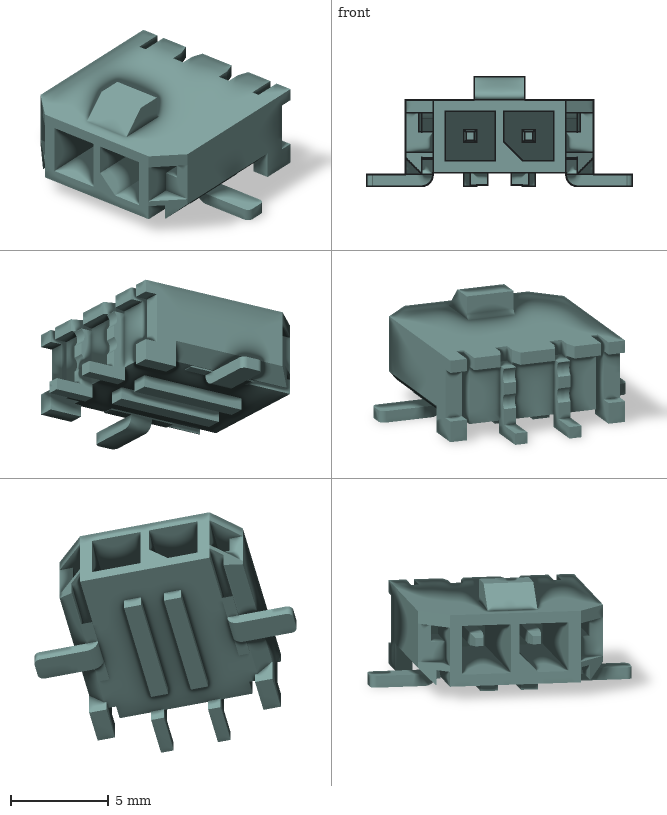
import cadquery as cq


BODY_WIDTH = 9.66
BODY_DEPTH = 9.88
BODY_BOTTOM = 0.7
BODY_TOP = 4.44
HALF_WIDTH = BODY_WIDTH / 2
CAVITY_CENTER_Z = 2.58
CORNER_CHAMFER = 1.42
CORE_HALF_WIDTH = HALF_WIDTH - CORNER_CHAMFER
LOWER_CHAMFER = 0.78

FOOT_BOTTOM = 0.07
BACK_FOOT_WIDTH = 0.91
BACK_FOOT_FRONT = 8.0
RIB_INNER_X = 0.6
RIB_OUTER_X = 1.5
RIB_FRONT = 1.72
RIB_BACK = 7.73

BACK_RECESS_Y = 9.2
BACK_RECESS_BOTTOM = 1.17
ROOF_BOTTOM = 3.78
SIDE_SLOT_WIDTH = 0.41
SIDE_SLOT_FRONT = 8.41
PIN_SLOT_FRONT = 8.57
PIN_SLOT_MOUTH = 1.09
PIN_SLOT_TAPER_DEPTH = 0.61

PITCH = 3.0
CAVITY_SIZE = 2.55
CAVITY_DEPTH = 7.51
KEY_CUT = 0.98

POCKET_FLOOR = 1.76
WINDOW_WIDTH = 0.72
WINDOW_BOTTOM = 2.8
WINDOW_BACK = 3.75

LATCH_WIDTH = 2.6
LATCH_TOP = 5.64
LATCH_FRONT = 0.8
LATCH_CREST_FRONT = 2.0
LATCH_BACK = 3.32
LATCH_ROOT_RADIUS = 0.25

PIN_WIDTH = 0.67
PIN_HEIGHT = 0.64
PIN_TIP_Y = 2.05
PIN_TIP_LENGTH = 0.85
PIN_TIP_WIDTH = 0.42
PIN_TIP_HEIGHT = 0.44
PIN_BACK = 9.83
PIN_LEG_FRONT = 9.15
PIN_TOP = 3.66
PIN_TAIL_END = 11.35
PIN_TAIL_THICKNESS = 0.61
PIN_BAR_BOTTOM = CAVITY_CENTER_Z - PIN_HEIGHT / 2
SCALLOP_RADIUS = 0.5
SCALLOP_DEPTH = 0.18
SCALLOP_HEIGHTS = (1.87, 3.26)

NAIL_SPAN = 13.65
NAIL_THICKNESS = 0.59
NAIL_CENTER_Y = 4.6
NAIL_FOOT_WIDTH = 1.27
NAIL_FOOT_THICKNESS = 0.61
NAIL_FOOT_CORNER = 0.3
NAIL_BEND_RADIUS = 0.6
NAIL_BASE_LENGTH = 3.88
NAIL_BASE_SLOPE = 0.78
NAIL_TOP_RADIUS = 0.8 / 2
NAIL_TOP = 3.89
NAIL_SLOT_TOP = 1.47
NAIL_OUTER_X = CORE_HALF_WIDTH + NAIL_THICKNESS
NAIL_PLATE_LENGTH = NAIL_BASE_LENGTH - 2 * NAIL_BASE_SLOPE

PIN_CENTERS = (-PITCH / 2, PITCH / 2)


def box(x_range, y_range, z_range):
    """Block between two limits along each axis."""
    size = [limits[1] - limits[0] for limits in (x_range, y_range, z_range)]
    return (
        cq.Workplane("XY")
        .box(*size, centered=False)
        .translate((x_range[0], y_range[0], z_range[0]))
    )


def side_profile(points, x_start, width):
    """Closed (Y, Z) outline extruded along +X from x_start."""
    return cq.Workplane("YZ", origin=(x_start, 0, 0)).polyline(points).close().extrude(width)


def both_sides(solid):
    """The given right-hand shape together with its mirror image in X = 0."""
    return solid.union(solid.mirror("YZ"))


def make_body_block():
    """Block with chamfered front corners and bevelled lower side edges."""
    block = box((-HALF_WIDTH, HALF_WIDTH), (0, BODY_DEPTH), (BODY_BOTTOM, BODY_TOP))
    block = block.faces("<Y").edges("|Z").chamfer(CORNER_CHAMFER)
    bevel = (
        cq.Workplane("XZ")
        .polyline([
            (HALF_WIDTH, BODY_BOTTOM),
            (HALF_WIDTH, BODY_BOTTOM + LOWER_CHAMFER),
            (HALF_WIDTH - LOWER_CHAMFER, BODY_BOTTOM),
        ])
        .close()
        .extrude(-BACK_FOOT_FRONT)
    )
    return block.cut(both_sides(bevel))


def make_feet():
    """Back feet under the side walls and the two long ribs under the middle."""
    foot = box(
        (HALF_WIDTH - BACK_FOOT_WIDTH, HALF_WIDTH),
        (BACK_FOOT_FRONT, BODY_DEPTH),
        (FOOT_BOTTOM, BACK_RECESS_BOTTOM),
    )
    rib = box((RIB_INNER_X, RIB_OUTER_X), (RIB_FRONT, RIB_BACK), (FOOT_BOTTOM, BODY_BOTTOM))
    return both_sides(foot).union(both_sides(rib))


def make_latch():
    """Ramp with a vertical back face that runs into the roof through a concave radius."""
    return (
        cq.Workplane("YZ", origin=(-LATCH_WIDTH / 2, 0, 0))
        .moveTo(LATCH_FRONT, BODY_TOP)
        .lineTo(LATCH_CREST_FRONT, LATCH_TOP)
        .lineTo(LATCH_BACK, LATCH_TOP)
        .lineTo(LATCH_BACK, BODY_TOP + LATCH_ROOT_RADIUS)
        .radiusArc((LATCH_BACK + LATCH_ROOT_RADIUS, BODY_TOP), -LATCH_ROOT_RADIUS)
        .close()
        .extrude(LATCH_WIDTH)
    )


def make_back_openings():
    """Recess under the roof overhang, plus the slot beside each side wall."""
    side_slot_outer = HALF_WIDTH - BACK_FOOT_WIDTH
    recess = box(
        (-HALF_WIDTH, HALF_WIDTH), (BACK_RECESS_Y, BODY_DEPTH), (BACK_RECESS_BOTTOM, ROOF_BOTTOM)
    )
    middle = box(
        (-side_slot_outer, side_slot_outer), (BACK_RECESS_Y, BODY_DEPTH), (BODY_BOTTOM, ROOF_BOTTOM)
    )
    side_slot = box(
        (side_slot_outer - SIDE_SLOT_WIDTH, side_slot_outer),
        (SIDE_SLOT_FRONT, BODY_DEPTH),
        (BODY_BOTTOM, BODY_TOP),
    )
    return recess.union(middle).union(both_sides(side_slot))


def make_pin_slot(x):
    """Slot above a pin, cut through the roof and flared to a V at the back."""
    half_pin = PIN_WIDTH / 2
    half_mouth = PIN_SLOT_MOUTH / 2
    taper_start = BODY_DEPTH - PIN_SLOT_TAPER_DEPTH
    return (
        cq.Workplane("XY", origin=(x, 0, PIN_BAR_BOTTOM))
        .polyline([
            (-half_pin, PIN_SLOT_FRONT),
            (half_pin, PIN_SLOT_FRONT),
            (half_pin, taper_start),
            (half_mouth, BODY_DEPTH),
            (-half_mouth, BODY_DEPTH),
            (-half_pin, taper_start),
        ])
        .close()
        .extrude(BODY_TOP - PIN_BAR_BOTTOM)
    )


def make_cavities():
    """Two square contact cavities; the right-hand one keeps a sloped keying corner."""
    half = CAVITY_SIZE / 2
    cavities = (
        cq.Workplane("XZ", origin=(0, 0, CAVITY_CENTER_Z))
        .pushPoints([(x, 0) for x in PIN_CENTERS])
        .rect(CAVITY_SIZE, CAVITY_SIZE)
        .extrude(-CAVITY_DEPTH)
    )
    key = (
        cq.Workplane("XZ", origin=(PITCH / 2 - half, 0, CAVITY_CENTER_Z - half))
        .polyline([(0, 0), (KEY_CUT, 0), (0, KEY_CUT)])
        .close()
        .extrude(-CAVITY_DEPTH)
    )
    return cavities.cut(key)


def make_nail_openings():
    """Right-hand corner pocket, the window behind it and the open slot below it."""
    pocket = box((CORE_HALF_WIDTH, HALF_WIDTH), (0, CORNER_CHAMFER), (POCKET_FLOOR, ROOF_BOTTOM))
    window = box(
        (CORE_HALF_WIDTH, CORE_HALF_WIDTH + WINDOW_WIDTH),
        (CORNER_CHAMFER, WINDOW_BACK),
        (WINDOW_BOTTOM, ROOF_BOTTOM),
    )
    slot = box(
        (CORE_HALF_WIDTH, NAIL_OUTER_X),
        (0, NAIL_CENTER_Y - NAIL_PLATE_LENGTH / 2),
        (BODY_BOTTOM, NAIL_SLOT_TOP),
    )
    return pocket.union(window).union(slot)


def make_pin(x):
    """Pin with a tapered tip, a scalloped upright at the back and a tail on the board."""
    x_start = x - PIN_WIDTH / 2
    bar_top = PIN_BAR_BOTTOM + PIN_HEIGHT
    shoulder_y = PIN_TIP_Y + PIN_TIP_LENGTH
    outline = [
        (shoulder_y, PIN_BAR_BOTTOM),
        (PIN_LEG_FRONT, PIN_BAR_BOTTOM),
        (PIN_LEG_FRONT, 0),
        (PIN_TAIL_END, 0),
        (PIN_TAIL_END, PIN_TAIL_THICKNESS),
        (PIN_BACK, PIN_TAIL_THICKNESS),
        (PIN_BACK, PIN_TOP),
        (PIN_SLOT_FRONT, PIN_TOP),
        (PIN_SLOT_FRONT, bar_top),
        (shoulder_y, bar_top),
    ]
    tip = (
        cq.Workplane("XZ", origin=(x, shoulder_y, CAVITY_CENTER_Z))
        .rect(PIN_WIDTH, PIN_HEIGHT)
        .workplane(offset=PIN_TIP_LENGTH)
        .rect(PIN_TIP_WIDTH, PIN_TIP_HEIGHT)
        .loft(ruled=True)
    )
    scallop_y = PIN_BACK - SCALLOP_DEPTH + SCALLOP_RADIUS
    scallops = (
        cq.Workplane("YZ", origin=(x_start, 0, 0))
        .pushPoints([(scallop_y, z) for z in SCALLOP_HEIGHTS])
        .circle(SCALLOP_RADIUS)
        .extrude(PIN_WIDTH)
    )
    return side_profile(outline, x_start, PIN_WIDTH).union(tip).cut(scallops)


def make_right_nail():
    """Nail with an upright plate inside the housing and a foot bent outward onto the board."""
    half_base = NAIL_BASE_LENGTH / 2
    half_plate = NAIL_PLATE_LENGTH / 2
    slope_top = NAIL_FOOT_THICKNESS + NAIL_BASE_SLOPE
    plate = side_profile(
        [
            (NAIL_CENTER_Y - half_base, NAIL_FOOT_THICKNESS),
            (NAIL_CENTER_Y + half_base, NAIL_FOOT_THICKNESS),
            (NAIL_CENTER_Y + half_plate, slope_top),
            (NAIL_CENTER_Y + half_plate, NAIL_TOP),
            (NAIL_CENTER_Y - half_plate, NAIL_TOP),
            (NAIL_CENTER_Y - half_plate, slope_top),
        ],
        CORE_HALF_WIDTH,
        NAIL_THICKNESS,
    )
    plate = plate.faces(">Z").edges("|X").fillet(NAIL_TOP_RADIUS)
    foot = box(
        (CORE_HALF_WIDTH, NAIL_SPAN / 2),
        (NAIL_CENTER_Y - NAIL_FOOT_WIDTH / 2, NAIL_CENTER_Y + NAIL_FOOT_WIDTH / 2),
        (0, NAIL_FOOT_THICKNESS),
    )
    foot = foot.faces(">X").edges("|Z").fillet(NAIL_FOOT_CORNER)
    foot = foot.faces("<X").edges("<Z").fillet(NAIL_BEND_RADIUS)
    return plate.union(foot)


def make_housing(inserts):
    """Housing with all its openings and a matching hole for every insert."""
    housing = make_body_block().union(make_feet()).union(make_latch())
    housing = housing.cut(make_back_openings()).cut(make_cavities())
    housing = housing.cut(both_sides(make_nail_openings()))
    for x in PIN_CENTERS:
        housing = housing.cut(make_pin_slot(x))
    for insert in inserts:
        housing = housing.cut(insert)
    return housing


pins = [make_pin(x) for x in PIN_CENTERS]
right_nail = make_right_nail()
nails = [right_nail, right_nail.mirror("YZ")]
housing = make_housing(pins + nails)

result = cq.Compound.makeCompound([
    housing.solids().val(),
    *[pin.solids().val() for pin in pins],
    *[nail.solids().val() for nail in nails],
])